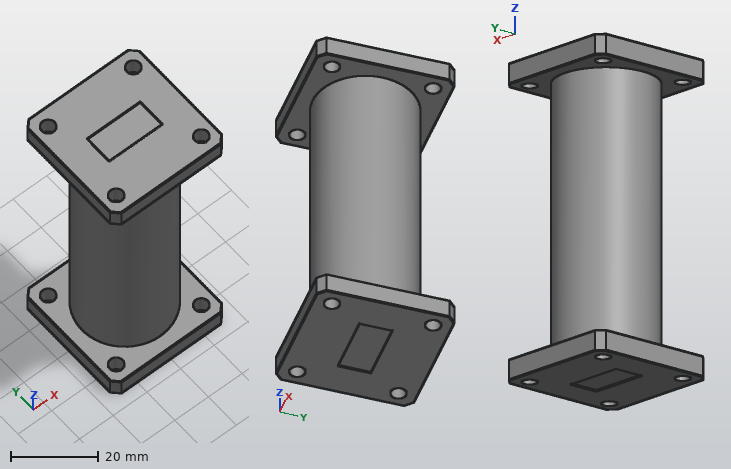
import cadquery as cq
length = 76.2
flange_side = 33.3
flange_thickness = 5.0
tube_diameter = 25.4

corner_chamfer = 1.8
rim_chamfer = 0.2
hole_diameter = 3.7
hole_spacing_x = 25.3
hole_spacing_y = 24.4

window_width = 15.8
window_height = 7.9
window_depth = 0.4


def make_flange():
    """Square flange on the XY plane, with its outer face pointing up."""
    return (
        cq.Workplane("XY")
        .box(flange_side, flange_side, flange_thickness, centered=(True, True, False))
        .edges("|Z")
        .chamfer(corner_chamfer)
        .faces("<Z or >Z")
        .chamfer(rim_chamfer)
        .faces(">Z")
        .workplane()
        .rect(hole_spacing_x, hole_spacing_y, forConstruction=True)
        .vertices()
        .hole(hole_diameter)
        .faces(">Z")
        .workplane()
        .rect(window_width, window_height)
        .cutBlind(-window_depth)
    )


top_flange = make_flange().translate((0, 0, length / 2 - flange_thickness))
bottom_flange = top_flange.mirror("XY")

tube_length = length - 2 * flange_thickness
tube = cq.Workplane("XY").circle(tube_diameter / 2).extrude(tube_length / 2, both=True)

result = tube.union(top_flange).union(bottom_flange)